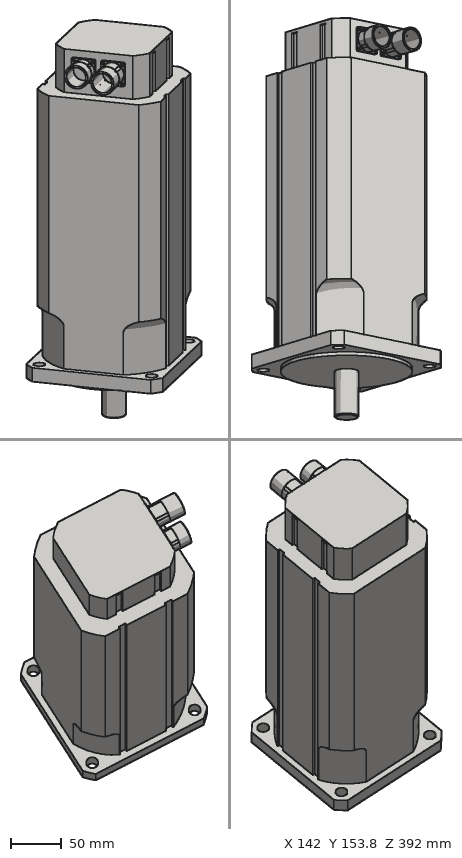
import cadquery as cq
import math

total_height = 392.0
pilot_bottom = 46.5
flange_bottom = 50.0
flange_top = 64.5
relief_straight_top = 108.0
relief_top = 121.0
housing_top = 347.0

flange_width = 142.0
flange_corner_diameter = 187.8
housing_width = 128.5
housing_corner_diameter = 159.0
cap_width = 97.5
cap_corner_diameter = 121.0
relief_diameter = 142.5

shaft_diameter = 24.0
shaft_chamfer = 1.0
pilot_diameter = 130.0
bolt_circle_diameter = 165.0
bolt_hole_diameter = 11.8

groove_depth = 2.5
groove_width = 7.5
housing_groove_offset = 26.3
cap_groove_offset = 22.0
cap_groove_top_gap = 3.0

barrel_diameter = 24.0
bore_diameter = 20.0
connector_offset = 15.3
connector_drop = 20.0
plate_width = 24.5
plate_thickness = 2.5
plate_corner_radius = 2.0
neck_diameter = 23.5
screw_hole_diameter = 2.7
screw_offset = 9.8
screw_clearance_diameter = 5.5
short_length = 24.0
short_neck_end = 11.5
long_length = 34.0
long_neck_end = 17.2


def rounded_block(width, corner_diameter, bottom, top):
    """Square block whose corners lie on a cylinder about the motor axis."""
    height = top - bottom
    square = cq.Workplane("XY").workplane(offset=bottom).rect(width, width).extrude(height)
    corner_cylinder = cq.Workplane("XY").workplane(offset=bottom).circle(corner_diameter / 2).extrude(height)
    return square.intersect(corner_cylinder)


def disc(diameter, bottom, top):
    return cq.Workplane("XY").workplane(offset=bottom).circle(diameter / 2).extrude(top - bottom)


def side_grooves(block_width, offset, bottom, top):
    """Four groove cutters, two in each X side."""
    return (
        cq.Workplane("XY")
        .workplane(offset=bottom)
        .rect(block_width, 2 * offset, forConstruction=True)
        .vertices()
        .rect(2 * groove_depth, groove_width)
        .extrude(top - bottom)
    )


def corner_relief():
    """Ring that turns down the lower housing corners and flares out in an arc at its top."""
    inner = relief_diameter / 2
    outer = housing_corner_diameter / 2
    clear = housing_width
    depth = outer - inner
    rise = relief_top - relief_straight_top
    arc_radius = (depth**2 + rise**2) / (2 * depth)
    half_angle = math.atan2(depth, rise)
    arc_middle = (
        inner + arc_radius * (1 - math.cos(half_angle)),
        relief_straight_top + arc_radius * math.sin(half_angle),
    )
    return (
        cq.Workplane("XZ")
        .moveTo(inner, flange_top)
        .lineTo(inner, relief_straight_top)
        .threePointArc(arc_middle, (outer, relief_top))
        .lineTo(clear, relief_top)
        .lineTo(clear, flange_top)
        .close()
        .revolve(360, (0, 0, 0), (0, 1, 0))
    )


def make_motor():
    shaft = disc(shaft_diameter, 0, pilot_bottom).faces("<Z").chamfer(shaft_chamfer)
    pilot = disc(pilot_diameter, pilot_bottom, flange_bottom)

    bolt_square = bolt_circle_diameter / math.sqrt(2)
    flange = (
        rounded_block(flange_width, flange_corner_diameter, flange_bottom, flange_top)
        .faces(">Z")
        .workplane()
        .rect(bolt_square, bolt_square, forConstruction=True)
        .vertices()
        .hole(bolt_hole_diameter)
    )

    housing = (
        rounded_block(housing_width, housing_corner_diameter, flange_top, housing_top)
        .cut(corner_relief())
        .cut(side_grooves(housing_width, housing_groove_offset, flange_top, housing_top))
    )

    cap_groove_top = total_height - cap_groove_top_gap
    cap = rounded_block(cap_width, cap_corner_diameter, housing_top, total_height).cut(
        side_grooves(cap_width, cap_groove_offset, housing_top, cap_groove_top)
    )
    return flange.union(pilot).union(shaft).union(housing).union(cap)


def make_connector(x, length, neck_end):
    """Socket on the cap: square plate, neck cleared for the plate screws, and a wider barrel."""
    cap_face = cq.Workplane("XZ", origin=(x, -cap_width / 2, total_height - connector_drop))
    plate_face = cap_face.workplane(offset=plate_thickness)
    neck_face = cap_face.workplane(offset=neck_end)
    neck_length = neck_end - plate_thickness

    def at_screws(face):
        return face.rect(2 * screw_offset, 2 * screw_offset, forConstruction=True).vertices()

    plate = (
        cap_face.rect(plate_width, plate_width)
        .extrude(plate_thickness)
        .edges("|Y")
        .fillet(plate_corner_radius)
        .cut(at_screws(cap_face).circle(screw_hole_diameter / 2).extrude(plate_thickness))
    )
    neck = (
        plate_face.circle(neck_diameter / 2)
        .extrude(neck_length)
        .cut(at_screws(plate_face).circle(screw_clearance_diameter / 2).extrude(neck_length))
    )
    barrel = neck_face.circle(barrel_diameter / 2).extrude(length - neck_end)
    bore = plate_face.circle(bore_diameter / 2).extrude(length - plate_thickness)
    return plate.union(neck).union(barrel).cut(bore)


motor = make_motor()
connectors = [
    make_connector(-connector_offset, short_length, short_neck_end),
    make_connector(connector_offset, long_length, long_neck_end),
]
result = cq.Compound.makeCompound([motor.val()] + [connector.val() for connector in connectors])